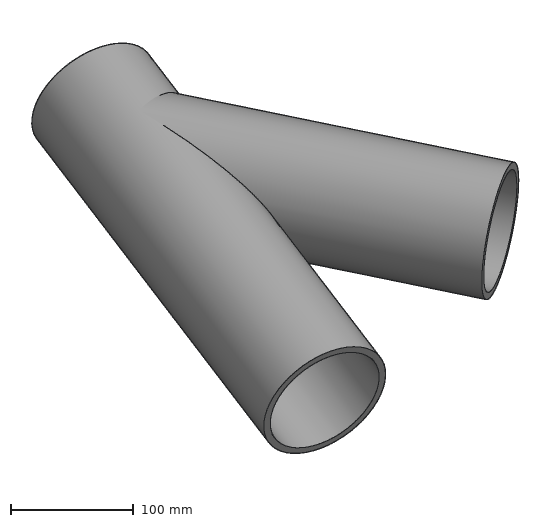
import cadquery as cq
import math

outer_diameter = 114.3
bore_diameter = 102.0

run_length = 381.0
junction_offset = 76.2
branch_length = 304.8
branch_angle = 45.0

run_start = (-junction_offset, 0, 0)
run_direction = (1, 0, 0)
junction = (0, 0, 0)
branch_direction = (
    math.cos(math.radians(branch_angle)),
    math.sin(math.radians(branch_angle)),
    0,
)


def wye(diameter):
    """Solid run and branch cylinders of one diameter, joined at the junction."""
    radius = diameter / 2
    run = cq.Solid.makeCylinder(radius, run_length, run_start, run_direction)
    branch = cq.Solid.makeCylinder(radius, branch_length, junction, branch_direction)
    return cq.Workplane(obj=run).union(cq.Workplane(obj=branch))


result = wye(outer_diameter).cut(wye(bore_diameter))